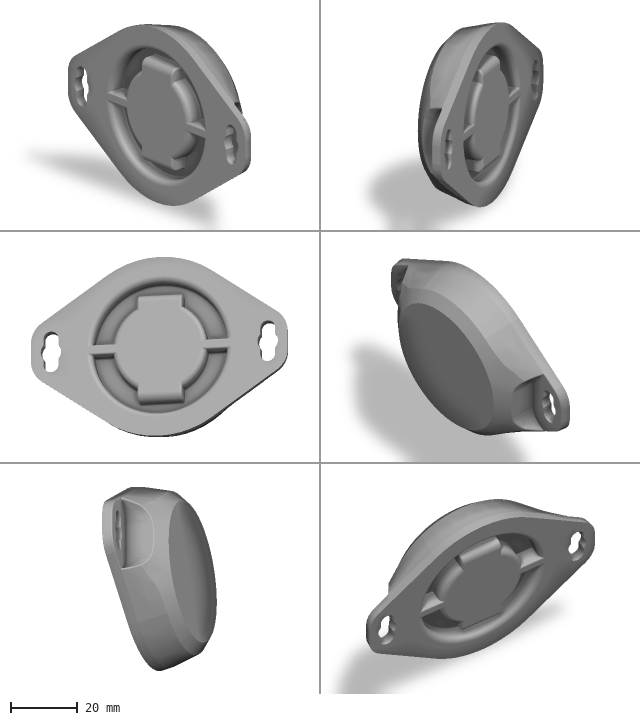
import cadquery as cq
import math


LENGTH = 78.2
WIDTH = 55.9
HEIGHT = 14.95

FLANGE_THICKNESS = 3.05
FLANGE_DRAFT = 8
SIDE_ANGLE = 34.8
TIP_RADIUS = 7.7
FLANGE_EDGE_ROUND = 0.4

SKIRT_TOP_RADIUS = 24.0
CROWN_TOP_RADIUS = 21.6
CROWN_SLOPE = 1.1
NOSE_SLOPE = 1.33
NOSE_HALF_ANGLE = 26

RECESS_FLOOR_X = 25.8
RECESS_REACH = 39.1
RECESS_FLAT_HALF = 5.3
RECESS_BOTTOM_HALF = 11.9
RECESS_TOP_HALF = 10.8
RECESS_LIP_ROUND = 0.4

SLOT_X = 33.0
SLOT_WIDTH = 4.5
SLOT_LENGTH = 12.7
SLOT_EYE_DIAMETER = 6.25

POCKET_DEPTH = 5.25
POCKET_RADIUS = 20.5
RIM_ROUND = 1.6
POCKET_CORNER_ROUND = 0.4
FLOOR_FILLET = 0.5
RIB_WIDTH = 3.0
RIB_ROUND = 0.5
CORE_RADIUS = 14.2
CORE_ROUND = 1.5
TAB_WIDTH = 13.6
TAB_LENGTH = 33.0
TAB_END_ROUND = 2.2
TAB_SIDE_ROUND = 0.6

SIDES = (-1, 1)


def flange_corners(inset):
    """Start, middle and end of the tip arc, and start of the large round, in the first quadrant."""
    angle = math.radians(SIDE_ANGLE)
    half_length = LENGTH / 2 - inset
    round_radius = WIDTH / 2 - inset
    tip_radius = TIP_RADIUS - inset
    sharp_y = (round_radius - half_length * math.sin(angle)) / math.cos(angle)
    centre_x = half_length - tip_radius
    centre_y = sharp_y - tip_radius * math.tan(math.pi / 4 - angle / 2)

    def on_tip_arc(turn):
        return (centre_x + tip_radius * math.cos(turn), centre_y + tip_radius * math.sin(turn))

    full_turn = math.pi / 2 - angle
    round_start = (round_radius * math.sin(angle), round_radius * math.cos(angle))
    return on_tip_arc(0), on_tip_arc(full_turn / 2), on_tip_arc(full_turn), round_start


def flange_outline(inset, height):
    """The flange outline moved inwards by `inset`."""
    (xa, ya), (xm, ym), (xb, yb), (xc, yc) = flange_corners(inset)
    crest = WIDTH / 2 - inset
    return (
        cq.Workplane("XY", origin=(0, 0, height))
        .moveTo(xa, -ya)
        .lineTo(xa, ya)
        .threePointArc((xm, ym), (xb, yb))
        .lineTo(xc, yc)
        .threePointArc((0, crest), (-xc, yc))
        .lineTo(-xb, yb)
        .threePointArc((-xm, ym), (-xa, ya))
        .lineTo(-xa, -ya)
        .threePointArc((-xm, -ym), (-xb, -yb))
        .lineTo(-xc, -yc)
        .threePointArc((0, -crest), (xc, -yc))
        .lineTo(xb, -yb)
        .threePointArc((xm, -ym), (xa, -ya))
        .close()
    )


def split_circle(radius, height):
    """A circle divided in the same directions as the flange outline, so that the two can be lofted."""
    tip_start, _, tip_end, round_start = flange_corners(0)
    quadrant = [math.atan2(y, x) for x, y in (tip_start, tip_end, round_start)]
    half = quadrant + [math.pi - turn for turn in reversed(quadrant)]
    stops = half + [turn + math.pi for turn in half]

    def point(turn):
        return (radius * math.cos(turn), radius * math.sin(turn))

    previous = -quadrant[0]
    circle = cq.Workplane("XY", origin=(0, 0, height)).moveTo(*point(previous))
    for stop in stops:
        circle = circle.threePointArc(point((previous + stop) / 2), point(stop))
        previous = stop
    return circle.close()


def crown_section(radius, nose, height):
    """A circle whose two ends along X are replaced by arcs reaching out to `nose`."""
    angle = math.radians(NOSE_HALF_ANGLE)
    x = radius * math.cos(angle)
    y = radius * math.sin(angle)
    return (
        cq.Workplane("XY", origin=(0, 0, height))
        .moveTo(x, -y)
        .threePointArc((nose, 0), (x, y))
        .threePointArc((0, radius), (-x, y))
        .threePointArc((-nose, 0), (-x, -y))
        .threePointArc((0, -radius), (x, -y))
        .close()
    )


def ruled_loft(lower, upper):
    return cq.Workplane(cq.Solid.makeLoft([lower.val(), upper.val()], True))


def dome():
    inset = FLANGE_THICKNESS * math.tan(math.radians(FLANGE_DRAFT))
    skirt = ruled_loft(flange_outline(inset, FLANGE_THICKNESS), split_circle(SKIRT_TOP_RADIUS, HEIGHT))
    drop = HEIGHT - FLANGE_THICKNESS
    crown_radius = CROWN_TOP_RADIUS + CROWN_SLOPE * drop
    crown_nose = CROWN_TOP_RADIUS + NOSE_SLOPE * drop
    crown = ruled_loft(
        crown_section(crown_radius, crown_nose, FLANGE_THICKNESS),
        crown_section(CROWN_TOP_RADIUS, CROWN_TOP_RADIUS, HEIGHT),
    )
    return skirt.intersect(crown)


def recess(side, start):
    """The space cleared above one flange tip from height `start`, narrowing upwards."""

    def section(half_width):
        outline = cq.Sketch().rect(RECESS_REACH, 2 * half_width)
        return outline.vertices().fillet(half_width - RECESS_FLAT_HALF)

    rise = cq.Location(cq.Vector(0, 0, HEIGHT - start))
    centre_x = side * (RECESS_FLOOR_X + RECESS_REACH / 2)
    return (
        cq.Workplane("XY", origin=(centre_x, 0, start))
        .placeSketch(section(RECESS_BOTTOM_HALF), section(RECESS_TOP_HALF).moved(rise))
        .loft()
    )


def round_recess_lip(body, side):
    """Round the edge where one recess breaks out through the crown and the skirt."""
    inner_x = side * (RECESS_FLOOR_X - 0.8)
    outer_x = side * LENGTH / 2
    side_wall_y = 0.8 * RECESS_BOTTOM_HALF
    low_z = FLANGE_THICKNESS + 0.8
    middle_z = (FLANGE_THICKNESS + HEIGHT) / 2 - 0.8
    lip = cq.selectors.BoxSelector(
        (inner_x, -side_wall_y, middle_z), (outer_x, side_wall_y, HEIGHT)
    )
    for wall in SIDES:
        lip = lip + cq.selectors.BoxSelector(
            (inner_x, wall * side_wall_y, low_z), (outer_x, wall * RECESS_BOTTOM_HALF, middle_z)
        )
    return body.edges(lip).fillet(RECESS_LIP_ROUND)


def flange():
    """The drafted plate, its upper edge rounded only at the tips, where the recesses leave it bare."""
    sharp = flange_outline(0, 0).extrude(FLANGE_THICKNESS, taper=FLANGE_DRAFT)
    rounded = sharp.faces(">Z").edges().fillet(FLANGE_EDGE_ROUND)
    for side in SIDES:
        sharp = sharp.cut(recess(side, FLANGE_THICKNESS - FLANGE_EDGE_ROUND))
    return sharp.union(rounded)


def slot(side):
    centre = cq.Workplane("XY").center(side * SLOT_X, 0)
    eye = centre.circle(SLOT_EYE_DIAMETER / 2).extrude(HEIGHT)
    return centre.slot2D(SLOT_LENGTH, SLOT_WIDTH, 90).extrude(HEIGHT).union(eye)


def core():
    disc = cq.Workplane("XY").circle(CORE_RADIUS).extrude(POCKET_DEPTH)
    disc = disc.faces("<Z").edges().fillet(CORE_ROUND)
    tab = cq.Workplane("XY").rect(TAB_WIDTH, TAB_LENGTH).extrude(POCKET_DEPTH)
    tab = tab.faces("<Z").edges("|X").fillet(TAB_END_ROUND)
    tab = tab.faces("<Z").edges("|Y").fillet(TAB_SIDE_ROUND)
    return disc.union(tab)


def rib():
    bar = cq.Workplane("XY").rect(2 * (POCKET_RADIUS + RIM_ROUND), RIB_WIDTH).extrude(POCKET_DEPTH)
    return bar.faces("<Z").edges("|X").fillet(RIB_ROUND)


def pocket_corner_edges(side_x, side_y):
    """The edges, from floor to rim, where the pocket wall meets one side of the rib."""
    rib_edge = RIB_WIDTH / 2
    return cq.selectors.BoxSelector(
        (side_x * (POCKET_RADIUS - RIB_ROUND), side_y * (rib_edge - RIB_ROUND), 0),
        (side_x * (POCKET_RADIUS + RIM_ROUND), side_y * (rib_edge + RIB_ROUND), POCKET_DEPTH - RIB_ROUND),
    )


def pockets():
    """The two hollows, with the core and the rib left standing and the rim flared open."""
    bowl = (
        cq.Workplane("XZ")
        .lineTo(POCKET_RADIUS + RIM_ROUND, 0)
        .radiusArc((POCKET_RADIUS, RIM_ROUND), RIM_ROUND)
        .lineTo(POCKET_RADIUS, POCKET_DEPTH)
        .lineTo(0, POCKET_DEPTH)
        .close()
        .revolve(360, (0, 0, 0), (0, 1, 0))
    )
    hollow = bowl.cut(core()).cut(rib())
    for side_x in SIDES:
        for side_y in SIDES:
            hollow = hollow.edges(pocket_corner_edges(side_x, side_y)).fillet(POCKET_CORNER_ROUND)
    return hollow.faces(">Z").edges().fillet(FLOOR_FILLET)


body = dome()
for side in SIDES:
    body = body.cut(recess(side, FLANGE_THICKNESS))
    body = round_recess_lip(body, side)
body = body.union(flange())
for side in SIDES:
    body = body.cut(slot(side))
body = body.cut(pockets())

result = body.rotate((0, 0, 0), (1, 0, 0), -90)